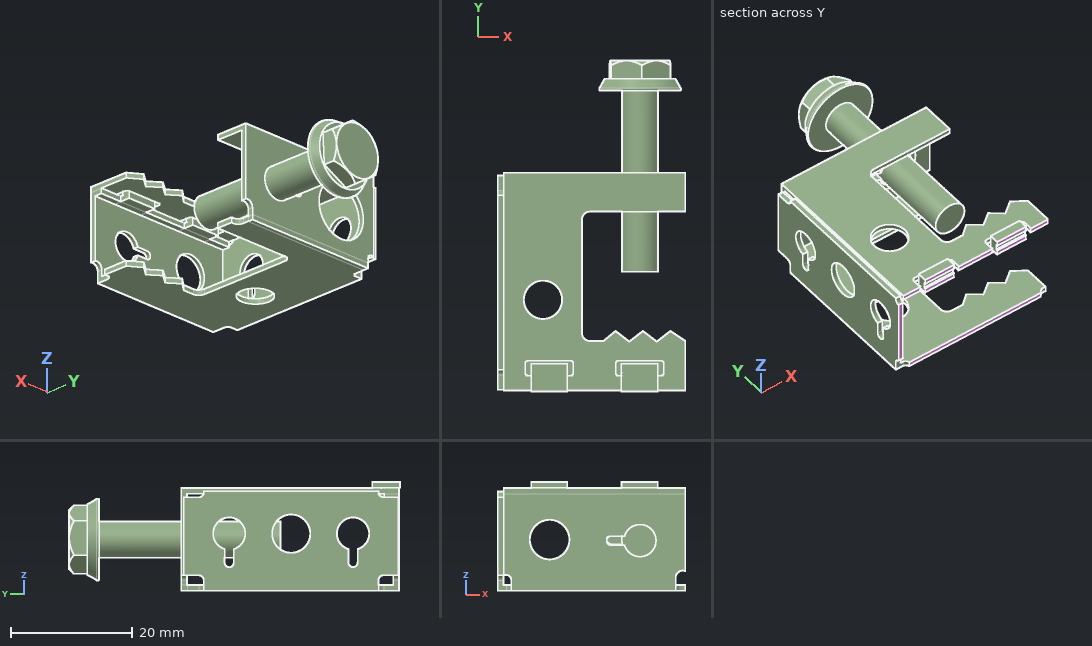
import cadquery as cq
import math

sheet = 1.0
clamp_width = 31.0
clamp_depth = 36.0
clamp_height = 17.0

jaw_left = 13.95
jaw_front = 8.2
jaw_back = 29.55
jaw_corner_radius = 1.3
tooth_count = 3
tooth_pitch = 4.55
tooth_start = 17.5
first_tooth_tip = 19.45
tooth_tip = 9.85
tooth_root = 8.1

panel_front = 0.1
panel_back = 35.55
panel_top = 16.45
panel_shoulder = 15.5
panel_step = 3.3
panel_step_radius = 0.8

relief_left_x = 2.25
relief_front_y = panel_front + panel_step
relief_back_y = clamp_depth - panel_back + panel_step
relief_wall_z = 2.6
relief_panel_z = 2.55
relief_radius = 0.8
relief_right_width = 2.3
relief_right_x = 30.55
relief_right_top = 3.35

plate_hole_diameter = 6.3
plate_hole_x = 7.5
plate_hole_y = 15.0
wall_hole_diameter = 6.5
wall_hole_x = 8.6
wall_hole_z = 8.5
access_hole_diameter = 10.4
keyhole_diameter = 5.3
keyhole_z = 8.3
key_slot_width = 1.5
key_slot_reach = 5.5
panel_hole_diameter = 6.3
panel_hole_z = 9.45
panel_keyhole_spacing = 10.2

tab_width = 6.0
tab_centers = (8.55, 23.45)
tab_front = -0.15
tab_back = 4.45
tab_leg = 1.5
tab_flange_depth = 2.45
tab_slot_width = 8.0
tab_slot_front = 2.45
tab_slot_back = 4.9
tab_slot_radius = 0.5

bolt_x = 23.5
bolt_z = 8.5
shank_radius = 3.0
shank_length = 29.95
shank_tip_y = 19.6
flange_radius = 6.8
flange_edge_radius = 6.65
flange_edge_height = 0.5
flange_top_radius = 5.85
flange_height = 1.95
head_height = 5.0
head_across_flats = 9.85
head_turn = 3.3
head_top_radius = 4.85
head_chamfer_height = 0.8

collar_base_radius = 4.55
collar_tip_radius = 3.3
collar_height = 0.5

inner_back = clamp_depth - sheet
top_plate_z = clamp_height - sheet


def block(x0, x1, y0, y1, z0, z1):
    """Box between two opposite corners."""
    return cq.Workplane("XY").box(x1 - x0, y1 - y0, z1 - z0, centered=False).translate((x0, y0, z0))


def hole_along_x(y, z, diameter):
    """Cutter through the side panel."""
    return cq.Workplane("YZ", origin=(0, y, z)).circle(diameter / 2).extrude(sheet)


def hole_along_y(x, y, z, diameter):
    """Cutter through a wall whose outer or inner face lies at y."""
    return cq.Workplane("XZ", origin=(x, y, z)).circle(diameter / 2).extrude(-sheet)


def key_slot(workplane):
    """Round-ended slot from the origin of the workplane towards its -X side."""
    half = key_slot_width / 2
    straight = key_slot_reach - half
    return (
        workplane.moveTo(0, -half)
        .lineTo(-straight, -half)
        .threePointArc((-key_slot_reach, 0), (-straight, half))
        .lineTo(0, half)
        .close()
    )


def jaw_plate(z):
    """C-shaped plate with a toothed front jaw and a round hole."""
    outline = (
        cq.Workplane("XY", origin=(0, 0, z))
        .moveTo(sheet, 0)
        .lineTo(clamp_width, 0)
        .lineTo(clamp_width, jaw_front)
    )
    for i in reversed(range(tooth_count)):
        tip_x = first_tooth_tip + i * tooth_pitch
        outline = outline.lineTo(tip_x, tooth_tip)
        if i > 0:
            outline = outline.lineTo(tip_x - tooth_pitch / 2, tooth_root)
    plate = (
        outline.lineTo(tooth_start, jaw_front)
        .lineTo(jaw_left, jaw_front)
        .lineTo(jaw_left, jaw_back)
        .lineTo(clamp_width, jaw_back)
        .lineTo(clamp_width, clamp_depth)
        .lineTo(sheet, clamp_depth)
        .close()
        .extrude(sheet)
    )
    for corner_y in (jaw_front, jaw_back):
        nearest = cq.selectors.NearestToPointSelector((jaw_left, corner_y, z + sheet / 2))
        plate = plate.edges("|Z").edges(nearest).fillet(jaw_corner_radius)
    hole = (
        cq.Workplane("XY", origin=(plate_hole_x, plate_hole_y, z))
        .circle(plate_hole_diameter / 2)
        .extrude(sheet)
    )
    return plate.cut(hole)


def make_top_plate():
    """Upper jaw plate with a slot for each tab."""
    plate = jaw_plate(top_plate_z)
    for x in tab_centers:
        slot = block(
            x - tab_slot_width / 2, x + tab_slot_width / 2,
            tab_slot_front, tab_slot_back,
            top_plate_z, clamp_height,
        )
        plate = plate.cut(slot.edges("|Z").fillet(tab_slot_radius))
    return plate


def make_front_wall():
    """Front wall with a round hole and a sideways keyhole."""
    wall = block(sheet, clamp_width, 0, sheet, 0, top_plate_z)
    wall = wall.cut(hole_along_y(wall_hole_x, 0, wall_hole_z, wall_hole_diameter))
    wall = wall.cut(hole_along_y(bolt_x, 0, keyhole_z, keyhole_diameter))
    slot = key_slot(cq.Workplane("XZ", origin=(bolt_x, 0, keyhole_z))).extrude(-sheet)
    return wall.cut(slot)


def make_back_wall():
    """Back wall with a wide access hole and a collared, slotted bolt hole."""
    wall = block(sheet, clamp_width, inner_back, clamp_depth, 0, top_plate_z)
    wall = wall.cut(hole_along_y(wall_hole_x, inner_back, wall_hole_z, access_hole_diameter))
    collar = cq.Workplane("XY").add(
        cq.Solid.makeCone(
            collar_base_radius, collar_tip_radius, collar_height,
            pnt=cq.Vector(bolt_x, inner_back, bolt_z), dir=cq.Vector(0, -1, 0),
        )
    )
    bolt_axis = cq.Workplane("XZ", origin=(bolt_x, clamp_depth, bolt_z))
    hole_depth = sheet + collar_height
    bolt_hole = bolt_axis.circle(shank_radius).extrude(hole_depth)
    slot = key_slot(bolt_axis).extrude(hole_depth)
    return wall.union(collar).cut(bolt_hole).cut(slot)


def make_side_panel():
    """Side panel with stepped upper corners, a round hole and two upright keyholes."""
    step_front = panel_front + panel_step
    step_back = panel_back - panel_step
    r = panel_step_radius
    arc_mid = r * math.sqrt(0.5)
    arc_z = panel_shoulder + r
    panel = (
        cq.Workplane("YZ")
        .moveTo(panel_front, 0)
        .lineTo(panel_back, 0)
        .lineTo(panel_back, panel_shoulder)
        .lineTo(step_back + r, panel_shoulder)
        .threePointArc((step_back + r - arc_mid, arc_z - arc_mid), (step_back, arc_z))
        .lineTo(step_back, panel_top)
        .lineTo(step_front, panel_top)
        .lineTo(step_front, arc_z)
        .threePointArc((step_front - r + arc_mid, arc_z - arc_mid), (step_front - r, panel_shoulder))
        .lineTo(panel_front, panel_shoulder)
        .close()
        .extrude(sheet)
    )
    middle = (panel_front + panel_back) / 2
    panel = panel.cut(hole_along_x(middle, panel_hole_z, panel_hole_diameter))
    for y in (middle - panel_keyhole_spacing, middle + panel_keyhole_spacing):
        panel = panel.cut(hole_along_x(y, panel_hole_z, keyhole_diameter))
        upright = cq.Plane(origin=(0, y, panel_hole_z), xDir=(0, 0, 1), normal=(1, 0, 0))
        panel = panel.cut(key_slot(cq.Workplane(upright)).extrude(sheet))
    return panel


def left_relief(reach_y):
    """Cutter for a left lower corner at Y = 0, where floor, wall and panel meet."""
    floor_cut = block(0, relief_left_x, 0, reach_y, 0, sheet).edges(">X and >Y").fillet(relief_radius)
    wall_cut = block(sheet, relief_left_x, 0, sheet, 0, relief_wall_z)
    wall_cut = wall_cut.edges(">X and >Z").fillet(relief_radius)
    panel_cut = block(0, sheet, 0, reach_y, 0, relief_panel_z)
    panel_cut = panel_cut.edges(">Y and >Z").fillet(relief_radius)
    return floor_cut.union(wall_cut).union(panel_cut)


def right_relief():
    """Cutter for a right lower corner at Y = 0: a round-ended slot folded over the bend."""
    radius = relief_right_width / 2
    straight = relief_right_top - radius
    left = relief_right_x - radius
    right = relief_right_x + radius
    wall_cut = block(left, right, 0, sheet, 0, straight).union(
        cq.Workplane("XZ", origin=(relief_right_x, 0, straight)).circle(radius).extrude(-sheet)
    )
    floor_cut = block(left, right, 0, straight, 0, sheet).union(
        cq.Workplane("XY", origin=(relief_right_x, straight, 0)).circle(radius).extrude(sheet)
    )
    return wall_cut.union(floor_cut)


def make_tab(x):
    """Hook that rises from the lip through the top plate and folds over to the front."""
    x0 = x - tab_width / 2
    x1 = x + tab_width / 2
    lip_z = top_plate_z - sheet
    tab_top = clamp_height + sheet
    foot = block(x0, x1, sheet, tab_back, lip_z, top_plate_z)
    leg = block(x0, x1, tab_back - tab_leg, tab_back, lip_z, tab_top)
    fold = block(x0, x1, tab_front, tab_back, clamp_height, tab_top)
    return foot.union(leg).union(fold)


def at_back(relief):
    """Relief cutter turned round to the back end of the clamp."""
    return relief.mirror("XZ").translate((0, clamp_depth, 0))


def cut_reliefs(body):
    """Cut the bend reliefs at all four lower corners."""
    return (
        body.cut(left_relief(relief_front_y))
        .cut(at_back(left_relief(relief_back_y)))
        .cut(right_relief())
        .cut(at_back(right_relief()))
    )


def make_clamp():
    """Folded sheet clamp as one solid."""
    lip = block(sheet, clamp_width, 0, tab_flange_depth, top_plate_z - sheet, top_plate_z)
    tray = jaw_plate(0).union(make_front_wall()).union(make_side_panel()).union(lip)
    cover = make_back_wall().union(make_top_plate())
    body = cut_reliefs(tray).union(cut_reliefs(cover), clean=False)
    for x in tab_centers:
        body = body.union(make_tab(x), clean=False)
    return body


def make_bolt():
    """Flanged hex bolt, modelled upright on Z and then laid along Y with its head at +Y."""
    shank = cq.Workplane("XY").circle(shank_radius).extrude(-shank_length)
    flange = (
        cq.Workplane("XZ")
        .lineTo(flange_edge_radius, 0)
        .threePointArc((flange_radius, flange_edge_height / 2), (flange_edge_radius, flange_edge_height))
        .lineTo(flange_top_radius, flange_height)
        .lineTo(0, flange_height)
        .close()
        .revolve(360, (0, 0, 0), (0, 1, 0))
    )
    corner_diameter = head_across_flats / math.cos(math.radians(30))
    corner_radius = corner_diameter / 2
    head = cq.Workplane("XY").polygon(6, corner_diameter).extrude(head_height)
    chamfered_round = (
        cq.Workplane("XZ")
        .lineTo(corner_radius, 0)
        .lineTo(corner_radius, head_height - head_chamfer_height)
        .lineTo(head_top_radius, head_height)
        .lineTo(0, head_height)
        .close()
        .revolve(360, (0, 0, 0), (0, 1, 0))
    )
    head = head.intersect(chamfered_round).rotate((0, 0, 0), (0, 0, 1), 90 + head_turn)
    bolt = shank.union(flange).union(head)
    return bolt.rotate((0, 0, 0), (1, 0, 0), -90).translate((bolt_x, shank_tip_y + shank_length, bolt_z))


clamp = make_clamp()
bolt = make_bolt()

result = cq.Compound.makeCompound([clamp.val(), bolt.val()])